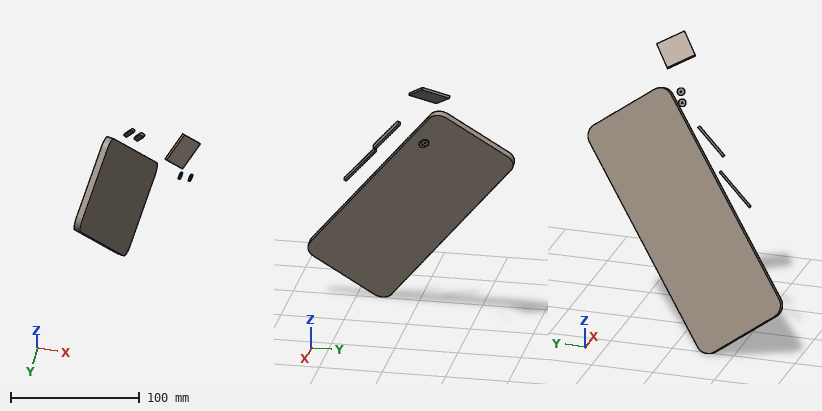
import cadquery as cq


PANEL_LENGTH = 202.0
PANEL_WIDTH = 77.0
PANEL_THICKNESS = 5.1
PANEL_CORNER_RADIUS = 10.0
PANEL_CENTRE = (-16.5, 0.0, -16.7)
PANEL_LONG_DIRECTION = (0.318, 0.584, 0.747)
PANEL_NORMAL = (-0.934, 0.057, 0.352)

COVER_SIDE = 24.0
COVER_THICKNESS = 2.0
COVER_CENTRE = (42.5, 26.0, 100.2)
COVER_SIDE_DIRECTION = (0.657, 0.565, 0.499)
COVER_NORMAL = (-0.634, 0.056, 0.772)

KEY_LONG_DIRECTION = (-0.019, 0.666, 0.746)
KEY_NORMAL = (-0.473, 0.651, -0.594)
SHORT_KEY_LENGTH = 30.5
SHORT_KEY_WIDTH = 3.8
SHORT_KEY_THICKNESS = 2.0
SHORT_KEY_CENTRE = (-1.3, -16.5, 46.0)
LONG_KEY_LENGTH = 36.5
LONG_KEY_WIDTH = 3.0
LONG_KEY_THICKNESS = 1.8
LONG_KEY_CENTRE = (-14.5, -40.0, 14.0)

WASHER_DIAMETER = 6.0
WASHER_HOLE_DIAMETER = 1.02
WASHER_THICKNESS = 1.1
WASHER_CENTRES = [(39.5, 20.0, 57.5), (48.3, 23.8, 62.8)]
WASHER_SIDE_DIRECTION = PANEL_LONG_DIRECTION
WASHER_NORMAL = (-0.919, 0.0, 0.394)


def tilted_plane(centre, side_direction, normal):
    """Workplane at centre, with its X axis along side_direction made square to normal."""
    across = cq.Vector(*normal).normalized()
    side = cq.Vector(*side_direction)
    side_in_plane = side - across * side.dot(across)
    return cq.Workplane(cq.Plane(centre, side_in_plane, across))


def make_panel():
    return (
        tilted_plane(PANEL_CENTRE, PANEL_LONG_DIRECTION, PANEL_NORMAL)
        .box(PANEL_LENGTH, PANEL_WIDTH, PANEL_THICKNESS)
        .edges(cq.selectors.ParallelDirSelector(cq.Vector(*PANEL_NORMAL), tolerance=0.01))
        .fillet(PANEL_CORNER_RADIUS)
    )


def make_cover():
    plane = tilted_plane(COVER_CENTRE, COVER_SIDE_DIRECTION, COVER_NORMAL)
    return plane.box(COVER_SIDE, COVER_SIDE, COVER_THICKNESS)


def make_key(length, width, thickness, centre):
    plane = tilted_plane(centre, KEY_LONG_DIRECTION, KEY_NORMAL)
    return plane.slot2D(length, width).extrude(thickness / 2, both=True)


def make_washer(centre):
    return (
        tilted_plane(centre, WASHER_SIDE_DIRECTION, WASHER_NORMAL)
        .circle(WASHER_DIAMETER / 2)
        .circle(WASHER_HOLE_DIAMETER / 2)
        .extrude(WASHER_THICKNESS / 2, both=True)
    )


panel = make_panel()
cover = make_cover()
short_key = make_key(SHORT_KEY_LENGTH, SHORT_KEY_WIDTH, SHORT_KEY_THICKNESS, SHORT_KEY_CENTRE)
long_key = make_key(LONG_KEY_LENGTH, LONG_KEY_WIDTH, LONG_KEY_THICKNESS, LONG_KEY_CENTRE)
washers = [make_washer(centre) for centre in WASHER_CENTRES]

result = cq.Compound.makeCompound(
    [
        panel.val(),
        cover.val(),
        short_key.val(),
        long_key.val(),
        *[washer.val() for washer in washers],
    ]
)